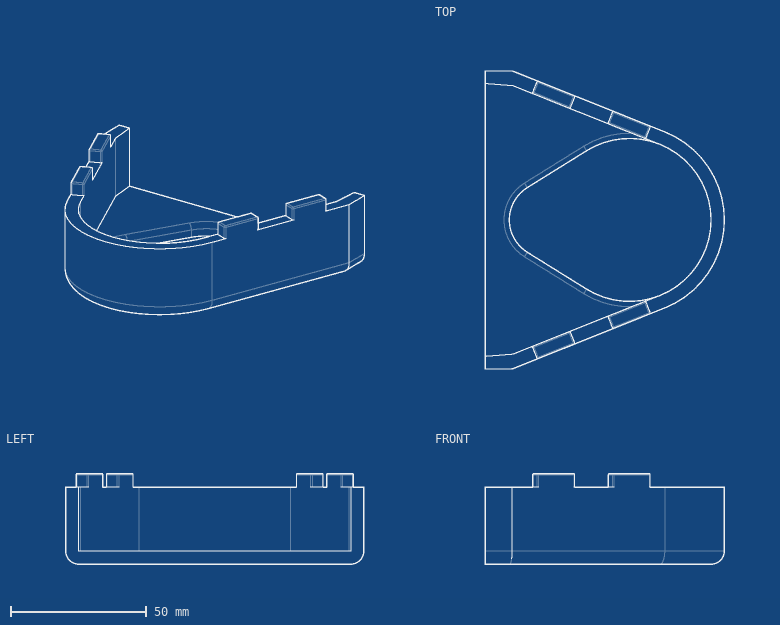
import cadquery as cq
import math


round_radius = 35.0
open_end_x = -53.3
half_width = 55.0
shoulder_length = 10.0
wall_thickness = 5.0
inner_shoulder_length = 10.3
end_wall_thickness = 4.7
floor_thickness = 5.0
wall_height = 28.5
bottom_edge_radius = 5.0

opening_tip_radius = 14.0
opening_tip_x = -30.3
opening_edge_radius = 2.0

tab_length = 15.0
tab_height = 5.0
tab_edge_radius = 0.5
tab_starts = (10.0, 40.0)

inner_radius = round_radius - wall_thickness
shoulder_x = open_end_x + shoulder_length

corner_distance = math.hypot(shoulder_x, half_width)
normal_angle = math.atan2(half_width, shoulder_x) - math.acos(round_radius / corner_distance)
normal_x = math.cos(normal_angle)
normal_y = math.sin(normal_angle)
slope_angle = math.degrees(normal_angle) - 90


def outer_outline():
    tangent_x = round_radius * normal_x
    tangent_y = round_radius * normal_y
    return (
        cq.Workplane("XY")
        .moveTo(open_end_x, -half_width)
        .lineTo(shoulder_x, -half_width)
        .lineTo(tangent_x, -tangent_y)
        .threePointArc((round_radius, 0), (tangent_x, tangent_y))
        .lineTo(shoulder_x, half_width)
        .lineTo(open_end_x, half_width)
        .close()
    )


def make_cavity():
    """Space between the walls, above the floor."""
    tangent_x = inner_radius * normal_x
    tangent_y = inner_radius * normal_y
    end_y = half_width - end_wall_thickness
    inner_shoulder_x = open_end_x + inner_shoulder_length
    inner_shoulder_y = (inner_radius - inner_shoulder_x * normal_x) / normal_y
    return (
        cq.Workplane("XY")
        .workplane(offset=floor_thickness)
        .moveTo(open_end_x, -end_y)
        .lineTo(inner_shoulder_x, -inner_shoulder_y)
        .lineTo(tangent_x, -tangent_y)
        .threePointArc((inner_radius, 0), (tangent_x, tangent_y))
        .lineTo(inner_shoulder_x, inner_shoulder_y)
        .lineTo(open_end_x, end_y)
        .close()
        .extrude(wall_height - floor_thickness)
    )


def make_opening():
    """Teardrop opening, flush with the inner wall at the round end, with its upper edge flared."""
    tangent_angle = math.acos((inner_radius - opening_tip_radius) / opening_tip_x)
    cos_t = math.cos(tangent_angle)
    sin_t = math.sin(tangent_angle)
    large_x = inner_radius * cos_t
    large_y = inner_radius * sin_t
    tip_x = opening_tip_x + opening_tip_radius * cos_t
    tip_y = opening_tip_radius * sin_t
    plate_size = 4 * half_width
    rim_region = cq.selectors.BoxSelector(
        (-half_width, -half_width, 0),
        (half_width, half_width, 2 * floor_thickness),
    )
    opening = (
        cq.Workplane("XY")
        .moveTo(large_x, -large_y)
        .threePointArc((inner_radius, 0), (large_x, large_y))
        .lineTo(tip_x, tip_y)
        .threePointArc((opening_tip_x - opening_tip_radius, 0), (tip_x, -tip_y))
        .close()
        .extrude(floor_thickness)
    )
    plate = cq.Workplane("XY").rect(plate_size, plate_size).extrude(floor_thickness)
    rounded_plate = (
        plate.cut(opening)
        .faces(">Z")
        .edges(rim_region)
        .fillet(opening_edge_radius)
    )
    flared_opening = plate.cut(rounded_plate)
    return flared_opening.intersect(make_cavity().translate((0, 0, -floor_thickness)))


def make_tab(start):
    """Tab on the +Y wall, as thick as the wall, starting at a distance along the slope."""
    along = start + tab_length / 2
    across = wall_thickness / 2
    centre_x = shoulder_x + along * normal_y - across * normal_x
    centre_y = half_width - along * normal_x - across * normal_y
    return (
        cq.Workplane("XY")
        .box(tab_length, wall_thickness, tab_height, centered=(True, True, False))
        .edges("|Z or >Z")
        .fillet(tab_edge_radius)
        .rotate((0, 0, 0), (0, 0, 1), slope_angle)
        .translate((centre_x, centre_y, wall_height))
    )


body = outer_outline().extrude(wall_height)
body = body.faces("<Z").edges("not <X").fillet(bottom_edge_radius)
body = body.cut(make_cavity()).cut(make_opening())

for tab_start in tab_starts:
    tab = make_tab(tab_start)
    body = body.union(tab).union(tab.mirror("XZ"))

result = body